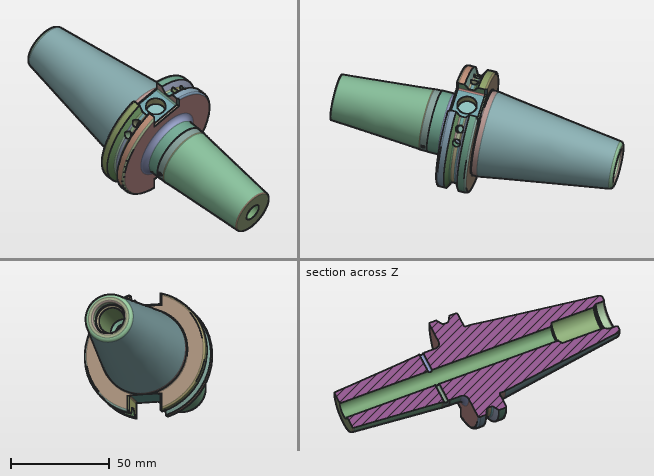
import cadquery as cq
import math


gauge_radius = 22.225
taper_length = 68.25
taper_slope = 7 / 48
taper_end_radius = gauge_radius - taper_slope * taper_length
taper_end_fillet = 1.9
collar_root_fillet = 0.4

flange_start = 3.175
flange_end = 19.05
flange_radius = 31.675
flange_edge_fillet = 1.0
groove_center = 11.2
groove_bottom_radius = 28.1
groove_bottom_half_width = 1.47
groove_flank_angle = 30
groove_corner_fillet = 1.0

nose_end = 80.0
nose_radius = 16.05
nose_root_fillet = 3.0
relief_start = 28.0
relief_radius = 15.9
nose_cone_start = 32.3
nose_cone_radius = 15.75
relief_end_chamfer = 0.5
nose_cone_angle = 4.5
nose_end_fillet = 0.5

counterbore_radius = 8.13
counterbore_depth = 5.0
counterbore_mouth_fillet = 1.0
thread_major_radius = 7.85
thread_lead_length = 0.6
thread_bore_radius = 6.7
thread_entry_angle = 45
thread_depth = 30.0
drill_point_angle = 59
through_radius = 4.5

slot_half_width = 8.13
upper_slot_floor = 25.0
lower_slot_floor = gauge_radius
slot_corner_fillet = 0.8
slot_edge_chamfer = 0.9
slot_pocket_radius = 5.0
slot_pocket_depth = 5.0

balance_hole_radius = 1.95
balance_hole_depth = 6.0
balance_hole_angles = (-45, -30, 30, 45)
cross_hole_radius = 1.0
cross_hole_position = 30.0


def axial_length(rise, half_angle):
    """Length along X over which a cone of the given half angle changes radius by rise."""
    return rise / math.tan(math.radians(half_angle))


def revolve_profile(points):
    """Solid of revolution about X under a profile of (x, radius) points."""
    start_x = points[0][0]
    end_x = points[-1][0]
    outline = [(start_x, 0)] + points + [(end_x, 0)]
    return cq.Workplane("XZ").polyline(outline).close().revolve(360, (0, 0, 0), (1, 0, 0))


def fillet_circles(solid, circles, fillet):
    """Round the circular edges about X that lie at the given (x, radius) places."""
    tolerance = 0.01
    edges = []
    for edge in solid.edges("%CIRCLE").vals():
        for x, radius in circles:
            if abs(edge.Center().x - x) < tolerance and abs(edge.radius() - radius) < tolerance:
                edges.append(edge)
    return solid.newObject(edges).fillet(fillet)


def turned_body():
    groove_depth = flange_radius - groove_bottom_radius
    groove_flank_width = groove_depth * math.tan(math.radians(groove_flank_angle))
    groove_top_half_width = groove_bottom_half_width + groove_flank_width
    cone_drop = (nose_end - nose_cone_start) * math.tan(math.radians(nose_cone_angle))
    nose_end_radius = nose_cone_radius - cone_drop
    groove_bottom_start = (groove_center - groove_bottom_half_width, groove_bottom_radius)
    groove_bottom_end = (groove_center + groove_bottom_half_width, groove_bottom_radius)

    body = revolve_profile([
        (-taper_length, taper_end_radius),
        (0, gauge_radius),
        (flange_start, gauge_radius),
        (flange_start, flange_radius),
        (groove_center - groove_top_half_width, flange_radius),
        groove_bottom_start,
        groove_bottom_end,
        (groove_center + groove_top_half_width, flange_radius),
        (flange_end, flange_radius),
        (flange_end, nose_radius),
        (relief_start, nose_radius),
        (relief_start, relief_radius),
        (nose_cone_start - relief_end_chamfer, relief_radius),
        (nose_cone_start, nose_cone_radius),
        (nose_end, nose_end_radius),
    ])
    flange_rims = [(flange_start, flange_radius), (flange_end, flange_radius)]
    body = fillet_circles(body, [(-taper_length, taper_end_radius)], taper_end_fillet)
    body = fillet_circles(body, [(flange_start, gauge_radius)], collar_root_fillet)
    body = fillet_circles(body, flange_rims, flange_edge_fillet)
    body = fillet_circles(body, [groove_bottom_start, groove_bottom_end], groove_corner_fillet)
    body = fillet_circles(body, [(flange_end, nose_radius)], nose_root_fillet)
    return fillet_circles(body, [(nose_end, nose_end_radius)], nose_end_fillet)


def cut_bore(body):
    thread_start = -taper_length + counterbore_depth
    entry_start = thread_start + thread_lead_length
    entry_end = entry_start + axial_length(thread_major_radius - thread_bore_radius, thread_entry_angle)
    thread_end = -taper_length + thread_depth
    point_end = thread_end + axial_length(thread_bore_radius - through_radius, drill_point_angle)
    bore = revolve_profile([
        (-taper_length, counterbore_radius),
        (thread_start, counterbore_radius),
        (thread_start, thread_major_radius),
        (entry_start, thread_major_radius),
        (entry_end, thread_bore_radius),
        (thread_end, thread_bore_radius),
        (point_end, through_radius),
        (nose_end, through_radius),
    ])
    return fillet_circles(body.cut(bore), [(-taper_length, counterbore_radius)], counterbore_mouth_fillet)


def drive_slot(floor, floor_chamfer):
    """Cutter for a slot open towards +Z, with wall and floor chamfers at both flange faces.

    It starts early enough to trim the collar root fillet where that stands above the floor.
    """
    start = flange_start - collar_root_fillet
    height = flange_radius
    width = 2 * slot_half_width
    slot = (
        cq.Workplane("XY", origin=(start, 0, floor))
        .box(flange_end - start, width, height, centered=(False, True, False))
        .faces("<Z")
        .edges("|X")
        .fillet(slot_corner_fillet)
    )
    for face_x, inward in ((flange_start, 1), (flange_end, -1)):
        flare = (
            cq.Workplane("YZ", origin=(face_x, 0, floor + height / 2))
            .center(0, -floor_chamfer)
            .rect(width + 2 * slot_edge_chamfer, height)
            .workplane(offset=inward * slot_edge_chamfer)
            .center(0, floor_chamfer)
            .rect(width, height)
            .loft(ruled=True)
        )
        slot = slot.union(flare)
    return slot


def cut_drive_slots(body):
    upper = drive_slot(upper_slot_floor, slot_edge_chamfer)
    lower = drive_slot(lower_slot_floor, 0).rotate((0, 0, 0), (1, 0, 0), 180)
    pocket = (
        cq.Workplane("XY", origin=(groove_center, 0, upper_slot_floor))
        .circle(slot_pocket_radius)
        .extrude(-slot_pocket_depth)
    )
    return body.cut(upper).cut(lower).cut(pocket)


def cut_balance_holes(body):
    hole = (
        cq.Workplane("XY", origin=(groove_center, 0, groove_bottom_radius - balance_hole_depth))
        .circle(balance_hole_radius)
        .extrude(flange_radius - groove_bottom_radius + balance_hole_depth)
    )
    for angle in balance_hole_angles:
        body = body.cut(hole.rotate((0, 0, 0), (1, 0, 0), angle))
    return body


def cut_cross_hole(body):
    hole = (
        cq.Workplane("XZ", origin=(cross_hole_position, 0, 0))
        .circle(cross_hole_radius)
        .extrude(nose_radius, both=True)
    )
    return body.cut(hole)


result = turned_body()
result = cut_bore(result)
result = cut_drive_slots(result)
result = cut_balance_holes(result)
result = cut_cross_hole(result)